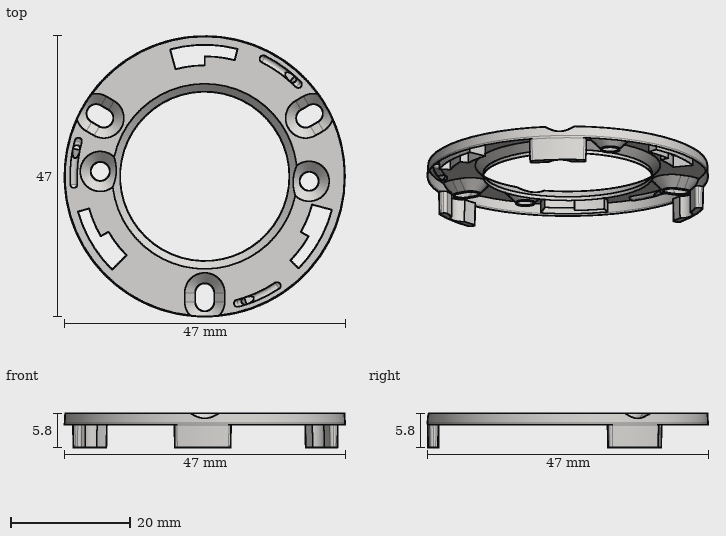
import cadquery as cq
import math

RIM_RADIUS = 23.5
RIM_TOP_RADIUS = 23.4
RING_HEIGHT = 2.0
PARTING_HEIGHT = 0.4
DRAFT_ANGLE = 1.0
DRAFT_SLOPE = math.tan(math.radians(DRAFT_ANGLE))
BORE_RADIUS = 14.15
BORE_CHAMFER = 1.35

REPEATS = 3
REPEAT_ANGLE = 360 / REPEATS

SCREW_RADIUS = 1.57
COUNTERSINK_RADIUS = 3.35
COUNTERSINK_DEPTH = COUNTERSINK_RADIUS - SCREW_RADIUS
HOLE_PITCH_RADIUS = 17.5
HOLE_ANGLES = (-2.7, 177.3)
SLOT_INNER_CENTRE = 19.5
SLOT_OUTER_CENTRE = 21.0
SLOT_ANGLE = -90

LEG_LENGTH = 3.8
LEG_INNER_RADIUS = 22.0
LEG_START_OFFSET = -12.8
LEG_END_OFFSET = 11.1
LEG_CORNER_RADIUS = 0.5
LEG_NOTCH_RADIUS = 2.15

WINDOW_ANGLE = 90
WINDOW_SHALLOW_SPAN = 14.4
WINDOW_DEEP_SPAN = 15.2
WINDOW_OUTER_RADIUS = 22.0
WINDOW_SHALLOW_RADIUS = 20.1
WINDOW_DEEP_RADIUS = 18.6

GROOVE_RADIUS = 0.6
GROOVE_PITCH_RADIUS = 21.95
GROOVE_START_ANGLE = 164.5
GROOVE_SPAN = 19
RIDGE_OFFSET = 3.6
RIDGE_STEEP_RUN = 0.7
RIDGE_GENTLE_RUN = 1.5


def polar(radius, angle):
    """Point in the XY plane at a radius and an angle in degrees."""
    return (radius * math.cos(math.radians(angle)), radius * math.sin(math.radians(angle)))


def turn(body, angle):
    """Rotate a body about the ring axis."""
    return body.rotate((0, 0, 0), (0, 0, 1), angle)


def make_ring():
    bottom_radius = RIM_RADIUS - PARTING_HEIGHT * DRAFT_SLOPE
    return (
        cq.Workplane("XZ")
        .moveTo(RIM_RADIUS, PARTING_HEIGHT)
        .lineTo(bottom_radius, 0)
        .lineTo(BORE_RADIUS, 0)
        .lineTo(BORE_RADIUS, RING_HEIGHT - BORE_CHAMFER)
        .lineTo(BORE_RADIUS + BORE_CHAMFER, RING_HEIGHT)
        .lineTo(RIM_TOP_RADIUS, RING_HEIGHT)
        .close()
        .revolve(360, (0, 0, 0), (0, 1, 0))
    )


def make_leg():
    """Leg that starts at the parting height and drafts inwards on all sides."""
    height = LEG_LENGTH + PARTING_HEIGHT
    inset = height * DRAFT_SLOPE
    hoop = (
        cq.Workplane("XZ")
        .moveTo(RIM_RADIUS, PARTING_HEIGHT)
        .lineTo(RIM_RADIUS - inset, -LEG_LENGTH)
        .lineTo(LEG_INNER_RADIUS + inset, -LEG_LENGTH)
        .lineTo(LEG_INNER_RADIUS, PARTING_HEIGHT)
        .close()
        .revolve(360, (0, 0, 0), (0, 1, 0))
    )
    wedge_radius = 2 * RIM_RADIUS
    wedge = (
        cq.Workplane("XY", origin=(0, 0, PARTING_HEIGHT))
        .lineTo(*polar(wedge_radius, SLOT_ANGLE + LEG_START_OFFSET))
        .lineTo(*polar(wedge_radius, SLOT_ANGLE + LEG_END_OFFSET))
        .close()
        .extrude(-height, taper=DRAFT_ANGLE)
    )
    leg = hoop.intersect(wedge)
    return leg.edges("not(<Z or >Z)").fillet(LEG_CORNER_RADIUS)


def make_notch_cutter():
    """Round clearance in the leg below the outer end of a slot on the +X axis."""
    return (
        cq.Workplane("XY", origin=(SLOT_OUTER_CENTRE, 0, -LEG_LENGTH))
        .circle(LEG_NOTCH_RADIUS)
        .extrude(LEG_LENGTH)
    )


def make_hole_cutter(radius):
    """Countersunk round hole on the +X axis."""
    shaft = (
        cq.Workplane("XY", origin=(radius, 0, -LEG_LENGTH))
        .circle(SCREW_RADIUS)
        .extrude(LEG_LENGTH + RING_HEIGHT)
    )
    cone = cq.Solid.makeCone(
        COUNTERSINK_RADIUS,
        SCREW_RADIUS,
        COUNTERSINK_DEPTH,
        cq.Vector(radius, 0, RING_HEIGHT),
        cq.Vector(0, 0, -1),
    )
    return shaft.union(cq.Workplane(cone))


def make_slot_cutter():
    """Countersunk radial slot along the +X axis."""
    length = SLOT_OUTER_CENTRE - SLOT_INNER_CENTRE
    countersink_bottom = RING_HEIGHT - COUNTERSINK_DEPTH
    straight = (
        cq.Workplane("YZ", origin=(SLOT_INNER_CENTRE, 0, 0))
        .moveTo(-SCREW_RADIUS, -LEG_LENGTH)
        .lineTo(SCREW_RADIUS, -LEG_LENGTH)
        .lineTo(SCREW_RADIUS, countersink_bottom)
        .lineTo(COUNTERSINK_RADIUS, RING_HEIGHT)
        .lineTo(-COUNTERSINK_RADIUS, RING_HEIGHT)
        .lineTo(-SCREW_RADIUS, countersink_bottom)
        .close()
        .extrude(length)
    )
    inner_end = make_hole_cutter(SLOT_INNER_CENTRE)
    outer_end = make_hole_cutter(SLOT_OUTER_CENTRE)
    return straight.union(inner_end).union(outer_end)


def make_window_half(inner_radius, start, end):
    """Ring sector between two angles, through the full ring height."""
    middle = (start + end) / 2
    return (
        cq.Workplane("XY")
        .moveTo(*polar(WINDOW_OUTER_RADIUS, start))
        .threePointArc(polar(WINDOW_OUTER_RADIUS, middle), polar(WINDOW_OUTER_RADIUS, end))
        .lineTo(*polar(inner_radius, end))
        .threePointArc(polar(inner_radius, middle), polar(inner_radius, start))
        .close()
        .extrude(RING_HEIGHT)
    )


def make_window_cutter():
    shallow = make_window_half(WINDOW_SHALLOW_RADIUS, WINDOW_ANGLE - WINDOW_SHALLOW_SPAN, WINDOW_ANGLE)
    deep = make_window_half(WINDOW_DEEP_RADIUS, WINDOW_ANGLE, WINDOW_ANGLE + WINDOW_DEEP_SPAN)
    return shallow.union(deep)


def make_groove_cutter():
    """Ball-ended arc groove starting on the +X axis, with the detent ridge left standing."""
    groove = (
        cq.Workplane("XZ", origin=(0, 0, RING_HEIGHT))
        .center(GROOVE_PITCH_RADIUS, 0)
        .circle(GROOVE_RADIUS)
        .revolve(GROOVE_SPAN, (-GROOVE_PITCH_RADIUS, 0, 0), (-GROOVE_PITCH_RADIUS, 1, 0))
    )
    for angle in (0, GROOVE_SPAN):
        x, y = polar(GROOVE_PITCH_RADIUS, angle)
        groove = groove.union(cq.Workplane("XY").sphere(GROOVE_RADIUS).translate((x, y, RING_HEIGHT)))

    ridge_half_width = 2 * GROOVE_RADIUS
    ridge = (
        cq.Workplane("YZ", origin=(GROOVE_PITCH_RADIUS, 0, RING_HEIGHT))
        .moveTo(0, 0)
        .lineTo(RIDGE_GENTLE_RUN, -GROOVE_RADIUS)
        .lineTo(-RIDGE_STEEP_RUN, -GROOVE_RADIUS)
        .close()
        .extrude(ridge_half_width, both=True)
    )
    return groove.cut(turn(ridge, RIDGE_OFFSET))


def build():
    body = make_ring()
    leg = make_leg()
    notch = turn(make_notch_cutter(), SLOT_ANGLE)
    slot = turn(make_slot_cutter(), SLOT_ANGLE)
    window = make_window_cutter()
    groove = turn(make_groove_cutter(), GROOVE_START_ANGLE)

    for index in range(REPEATS):
        body = body.union(turn(leg, index * REPEAT_ANGLE))
    for index in range(REPEATS):
        for cutter in (notch, slot, window, groove):
            body = body.cut(turn(cutter, index * REPEAT_ANGLE))
    for angle in HOLE_ANGLES:
        body = body.cut(turn(make_hole_cutter(HOLE_PITCH_RADIUS), angle))
    return body


result = build()